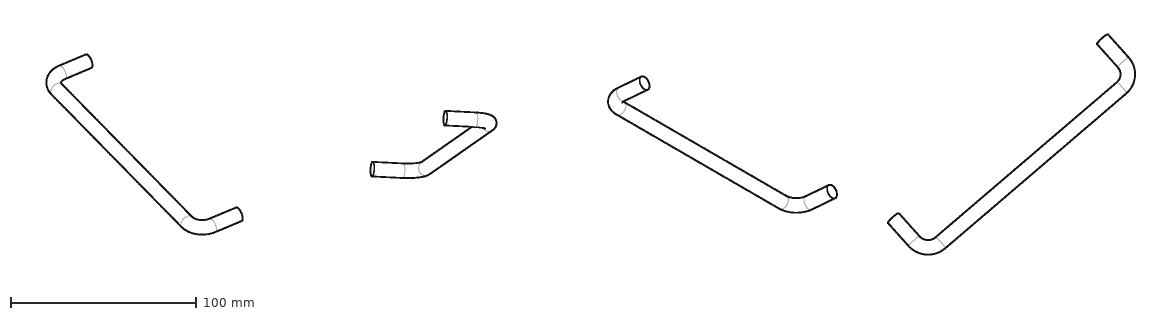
import cadquery as cq

rod_diameter = 8.0
overall_length = 158.0
overall_depth = 31.0
bend_radius = 10.0

rod_radius = rod_diameter / 2
leg_x = overall_length / 2 - rod_radius
grip_half_length = leg_x - bend_radius
leg_end_y = overall_depth - rod_radius


def handle_centreline():
    """U-shaped path in the XY plane, from the left leg end to the right leg end."""
    return (
        cq.Workplane("XY")
        .moveTo(-leg_x, leg_end_y)
        .lineTo(-leg_x, bend_radius)
        .radiusArc((-grip_half_length, 0), -bend_radius)
        .lineTo(grip_half_length, 0)
        .radiusArc((leg_x, bend_radius), -bend_radius)
        .lineTo(leg_x, leg_end_y)
    )


def bent_rod():
    """Round rod swept along the handle centreline."""
    leg_end_plane = cq.Plane(origin=(-leg_x, leg_end_y, 0), xDir=(1, 0, 0), normal=(0, -1, 0))
    return cq.Workplane(leg_end_plane).circle(rod_radius).sweep(handle_centreline())


result = bent_rod()